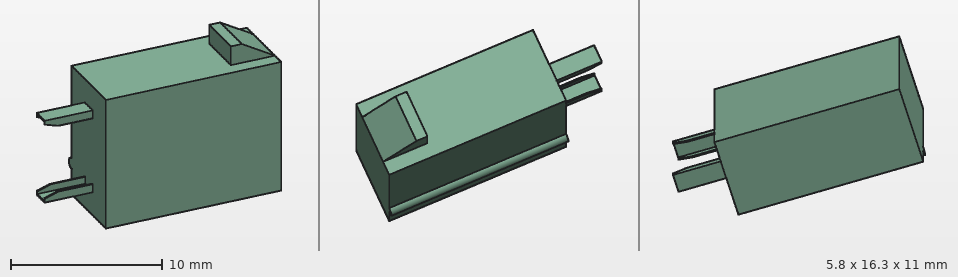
import cadquery as cq

OVERALL_LENGTH = 16.3

BODY_WIDTH = 5.4
BODY_LENGTH = 12.8
BODY_HEIGHT = 9.6

LATCH_WIDTH = 3.4
LATCH_LENGTH = 3.21
LATCH_FLAT = 0.8
LATCH_HEIGHT = 1.4

RIB_RADIUS = 0.4
RIB_HEIGHT = 2.3

PIN_LENGTH = OVERALL_LENGTH - BODY_LENGTH
PIN_WIDTH = 1.25
PIN_DEPTH = 0.6
PIN_WALL = 0.1
PIN_TIP_DEPTH = 0.3
PIN_TAPER = 0.98
LOWER_PIN_BASE = 1.73
UPPER_PIN_TOP = 7.84


def box_body():
    return cq.Workplane("XY").box(
        BODY_WIDTH, BODY_LENGTH, BODY_HEIGHT, centered=(True, False, False)
    )


def latch():
    front = BODY_LENGTH - LATCH_LENGTH
    top = BODY_HEIGHT + LATCH_HEIGHT
    profile = [
        (front, BODY_HEIGHT),
        (front, top),
        (front + LATCH_FLAT, top),
        (BODY_LENGTH, BODY_HEIGHT),
    ]
    return (
        cq.Workplane("YZ")
        .polyline(profile)
        .close()
        .extrude(LATCH_WIDTH / 2, both=True)
    )


def rib():
    return (
        cq.Workplane("XZ")
        .center(-BODY_WIDTH / 2, RIB_HEIGHT)
        .circle(RIB_RADIUS)
        .extrude(-BODY_LENGTH)
    )


def pin(web_height, flange_direction):
    """Channel pin whose web lies at web_height, with flanges tapering at the tip."""
    profile = [
        (0, web_height),
        (-PIN_LENGTH, web_height),
        (-PIN_LENGTH, web_height + flange_direction * PIN_TIP_DEPTH),
        (-PIN_LENGTH + PIN_TAPER, web_height + flange_direction * PIN_DEPTH),
        (0, web_height + flange_direction * PIN_DEPTH),
    ]
    blank = (
        cq.Workplane("YZ")
        .polyline(profile)
        .close()
        .extrude(PIN_WIDTH / 2, both=True)
    )
    channel_centre = web_height + flange_direction * (PIN_WALL + PIN_DEPTH / 2)
    channel = (
        cq.Workplane("XY")
        .box(PIN_WIDTH - 2 * PIN_WALL, PIN_LENGTH, PIN_DEPTH)
        .translate((0, -PIN_LENGTH / 2, channel_centre))
    )
    return blank.cut(channel)


result = (
    box_body()
    .union(latch())
    .union(rib())
    .union(pin(LOWER_PIN_BASE, 1))
    .union(pin(UPPER_PIN_TOP, -1))
)